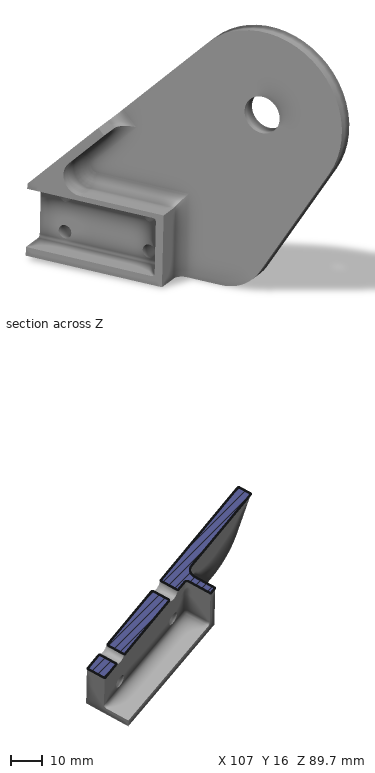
import cadquery as cq
import math

TILT = 1.375

PLATE_THICKNESS = 5.0
PIVOT_U = 77.08
PIVOT_RADIUS = 28.5
PIVOT_BORE = 12.5
HEEL_U = 63.88
HEEL_RADIUS = 16.0
LEFT_EDGE_HEIGHT = 24.76
EDGE_ANGLE = math.radians(45)

BLOCK_THICKNESS = 16.01
BLOCK_LENGTH = 48.65
BLOCK_HEIGHT = 24.71
RIB_WIDTH = 3.05
RIB_LENGTH = 34.98
RIB_ROOT_RADIUS = 6.0

PLATE_FILLET = 4.0
SIDE_FILLET = 3.0

POCKET_FLOOR = 6.73
POCKET_BOTTOM = 3.0
POCKET_HEIGHT = 20.0
POCKET_LENGTH = 45.94
POCKET_FILLET = 1.0

SCREW_HOLE = 4.5
SCREW_FIRST_U = 8.95
SCREW_SPACING_U = 30.0
SCREW_SPACING_V = 12.5

PIVOT_V = LEFT_EDGE_HEIGHT + PIVOT_U * math.tan(EDGE_ANGLE) - PIVOT_RADIUS / math.cos(EDGE_ANGLE)


def pivot_point(angle):
    return (PIVOT_U + PIVOT_RADIUS * math.cos(angle), PIVOT_V + PIVOT_RADIUS * math.sin(angle))


def heel_point(angle):
    return (HEEL_U + HEEL_RADIUS * math.cos(angle), HEEL_RADIUS + HEEL_RADIUS * math.sin(angle))


def make_plate():
    """Plate: base edge, heel arc, tangent side, pivot arc, 45 degree edge and left edge."""
    run = PIVOT_U - HEEL_U
    rise = PIVOT_V - HEEL_RADIUS
    lean = math.asin((PIVOT_RADIUS - HEEL_RADIUS) / math.hypot(run, rise))
    base_normal = -math.pi / 2
    side_normal = math.atan2(rise, run) - math.pi / 2 - lean
    edge_normal = EDGE_ANGLE + math.pi / 2
    return (
        cq.Workplane("XZ")
        .lineTo(HEEL_U, 0)
        .threePointArc(heel_point((base_normal + side_normal) / 2), heel_point(side_normal))
        .lineTo(*pivot_point(side_normal))
        .threePointArc(pivot_point((side_normal + edge_normal) / 2), pivot_point(edge_normal))
        .lineTo(0, LEFT_EDGE_HEIGHT)
        .close()
        .extrude(PLATE_THICKNESS)
    )


def make_thick_corner():
    """Rectangular block with a rib running up the 45 degree edge."""
    rib_end_u = RIB_LENGTH * math.cos(EDGE_ANGLE)
    rib_end_v = LEFT_EDGE_HEIGHT + RIB_LENGTH * math.sin(EDGE_ANGLE)
    rib_inner_u = rib_end_u + RIB_WIDTH * math.sin(EDGE_ANGLE)
    rib_inner_v = rib_end_v - RIB_WIDTH * math.cos(EDGE_ANGLE)
    rib_root_u = rib_inner_u - (rib_inner_v - BLOCK_HEIGHT) / math.tan(EDGE_ANGLE)
    corner = (
        cq.Workplane("XZ")
        .lineTo(BLOCK_LENGTH, 0)
        .lineTo(BLOCK_LENGTH, BLOCK_HEIGHT)
        .lineTo(rib_root_u, BLOCK_HEIGHT)
        .lineTo(rib_inner_u, rib_inner_v)
        .lineTo(rib_end_u, rib_end_v)
        .lineTo(0, LEFT_EDGE_HEIGHT)
        .close()
        .extrude(BLOCK_THICKNESS)
    )
    rib_root = cq.selectors.NearestToPointSelector((rib_root_u, -BLOCK_THICKNESS / 2, BLOCK_HEIGHT))
    return corner.edges("|Y").edges(rib_root).fillet(RIB_ROOT_RADIUS)


def blend_corner_into_plate(body):
    """Fillets where the walls of the thick corner meet the front face of the plate."""
    margin = 0.1
    wall_feet = cq.selectors.BoxSelector(
        (margin, -PLATE_THICKNESS - margin, margin),
        (BLOCK_LENGTH + margin, -PLATE_THICKNESS + margin, PIVOT_V),
    )
    side_foot = cq.selectors.NearestToPointSelector((BLOCK_LENGTH, -PLATE_THICKNESS, BLOCK_HEIGHT / 2))
    body = body.edges(wall_feet - side_foot).fillet(PLATE_FILLET)
    return body.edges(side_foot).fillet(SIDE_FILLET)


def make_pocket():
    """Cutter with rounded floor and corners; it runs out past the left end of the block."""
    overrun = 2 * POCKET_FILLET
    return (
        cq.Workplane("XZ", origin=(-overrun, -POCKET_FLOOR, POCKET_BOTTOM))
        .rect(overrun + POCKET_LENGTH, POCKET_HEIGHT, centered=False)
        .extrude(BLOCK_THICKNESS - POCKET_FLOOR)
        .edges("|Y or >Y")
        .fillet(POCKET_FILLET)
    )


def make_holes():
    """Cutters for the pivot bore and the four screw holes, all right through."""
    bore = cq.Workplane("XZ").center(PIVOT_U, PIVOT_V).circle(PIVOT_BORE / 2).extrude(PLATE_THICKNESS)
    screws = (
        cq.Workplane("XZ")
        .center(SCREW_FIRST_U + SCREW_SPACING_U / 2, POCKET_BOTTOM + POCKET_HEIGHT / 2)
        .rarray(SCREW_SPACING_U, SCREW_SPACING_V, 2, 2)
        .circle(SCREW_HOLE / 2)
        .extrude(BLOCK_THICKNESS)
    )
    return bore.union(screws)


body = make_plate().union(make_thick_corner())
body = blend_corner_into_plate(body)
body = body.cut(make_pocket()).cut(make_holes())
result = body.rotate((0, 0, 0), (0, 1, 0), TILT)